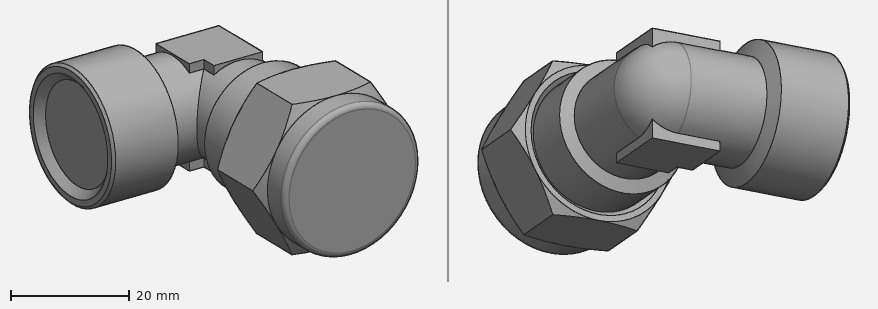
import cadquery as cq
import math

pipe_radius = 9.65
shoulder_start = 14.5
shoulder_angle = 20.0
shoulder_slope = math.tan(math.radians(shoulder_angle))

socket_radius = 12.75
socket_end = 29.0
socket_chamfer = 0.5
mouth_radius = 11.1
mouth_floor_radius = 9.6
mouth_depth = mouth_radius - mouth_floor_radius

stub_radius = 12.0
nut_start = 24.0
hex_end = 37.0
nut_end = 42.0
across_flats = 28.0
collar_radius = across_flats / 2
collar_fillet = 1.0
hex_corner_radius = across_flats / math.sqrt(3)
hex_bevel_angle = 30.0
hex_bevel = (hex_corner_radius - collar_radius) * math.tan(math.radians(hex_bevel_angle))
nut_countersink_radius = 12.9
nut_countersink_depth = nut_countersink_radius - stub_radius

pad_outer = 5.0
pad_reach = 8.0
pad_height = 20.0


def shoulder_length(radius):
    """Axial length of the cone from the pipe up to the given radius."""
    return (radius - pipe_radius) * shoulder_slope


def revolve_x(profile):
    """Revolve (x, radius) points around the X axis."""
    return cq.Workplane("XY").polyline(profile).close().revolve(360, (0, 0), (1, 0))


def make_socket_leg():
    shoulder_end = shoulder_start + shoulder_length(socket_radius)
    profile = [
        (0, 0),
        (pipe_radius, 0),
        (pipe_radius, -shoulder_start),
        (socket_radius, -shoulder_end),
        (socket_radius, -socket_end + socket_chamfer),
        (socket_radius - socket_chamfer, -socket_end),
        (mouth_radius, -socket_end),
        (mouth_floor_radius, -socket_end + mouth_depth),
        (0, -socket_end + mouth_depth),
    ]
    return cq.Workplane("XY").polyline(profile).close().revolve(360, (0, 0), (0, 1))


def make_stub_leg():
    return revolve_x([
        (0, 0),
        (0, pipe_radius),
        (shoulder_start, pipe_radius),
        (shoulder_start + shoulder_length(stub_radius), stub_radius),
        (nut_end, stub_radius),
        (nut_end, 0),
    ])


def make_nut():
    hexagon = (
        cq.Workplane("YZ", origin=(nut_start, 0, 0))
        .polygon(6, 2 * hex_corner_radius)
        .extrude(hex_end - nut_start)
    )
    bevels = revolve_x([
        (nut_start, 0),
        (nut_start, collar_radius),
        (nut_start + hex_bevel, hex_corner_radius),
        (hex_end - hex_bevel, hex_corner_radius),
        (hex_end, collar_radius),
        (hex_end, 0),
    ])
    collar = (
        cq.Workplane("YZ", origin=(hex_end, 0, 0))
        .circle(collar_radius)
        .extrude(nut_end - hex_end)
        .faces(">X")
        .edges()
        .fillet(collar_fillet)
    )
    countersink = revolve_x([
        (nut_start, 0),
        (nut_start, nut_countersink_radius),
        (nut_start + nut_countersink_depth, stub_radius),
        (nut_start + nut_countersink_depth, 0),
    ])
    return hexagon.intersect(bevels).union(collar).cut(countersink)


def make_pads():
    """L-shaped block through the elbow; its two ends form the wrench pads."""
    outline = [
        (-pad_outer, pad_outer),
        (pad_reach, pad_outer),
        (pad_reach, -pad_outer),
        (pad_outer, -pad_outer),
        (pad_outer, -pad_reach),
        (-pad_outer, -pad_reach),
    ]
    return cq.Workplane("XY").polyline(outline).close().extrude(pad_height / 2, both=True)


corner_ball = cq.Workplane("XY").sphere(pipe_radius)
result = (
    corner_ball
    .union(make_socket_leg())
    .union(make_stub_leg())
    .union(make_nut())
    .union(make_pads())
)